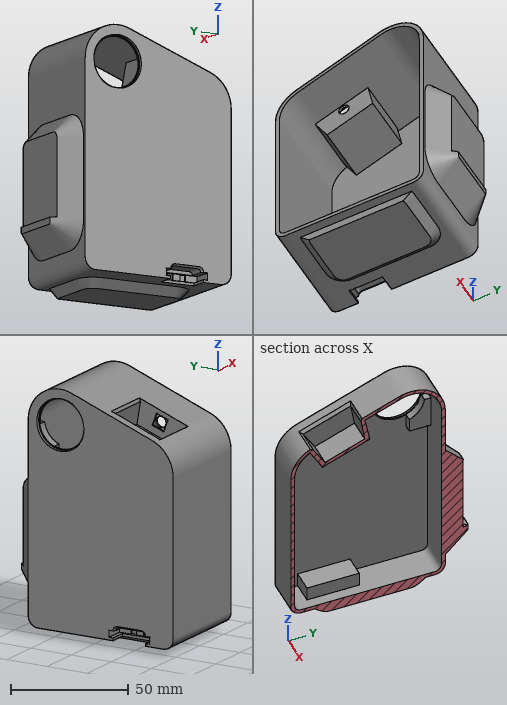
import cadquery as cq
import math

case_width = 48.4
case_depth = 72.0
case_height = 108.0
corner_radius = 16.0
bottom_radius = 5.0
shoulder_z = 77.0
wall = 2.0

rear_arc_y = case_depth - corner_radius
rear_arc_z = case_height - corner_radius
roof_angle = math.degrees(
    math.atan2(rear_arc_z - shoulder_z, rear_arc_y - corner_radius)
)
roof_sin = math.sin(math.radians(roof_angle))
roof_cos = math.cos(math.radians(roof_angle))

sensor_diameter = 22.3
sensor_recess_diameter = 23.3
sensor_recess_depth = 1.5
cradle_length = 5.5
cradle_y_min = 60.0
cradle_drop = 1.5
cradle_height = 15.5

pocket_x_min = 5.75
pocket_x_max = 27.6
pocket_y_front = 10.05
pocket_y_rear = 32.2
pocket_depth = 11.6
pocket_rim_side = 1.35
pocket_rim_end = 1.05
pocket_rim_depth = 1.3
pocket_end_lean = 2.0
cable_diameter = 5.0
cable_depth = 5.2
cable_recess_width = 6.0
cable_recess_depth = 0.8

taper_angle = 45.0
rear_mount_width = 45.4
rear_mount_height = 59.3
rear_mount_depth = 10.5
rear_mount_corner = 11.4
rear_mount_z = 39.55
rear_face_depth = 8.3
rear_lip_z = 23.4
lip_slot_width = 16.1
lip_slot_thickness = 1.2
lip_slot_floor_width = 10.0

bottom_mount_length = 54.6
bottom_mount_width = 37.6
bottom_mount_depth = 4.0
bottom_mount_corner = 8.4
bottom_mount_x = 31.9
bottom_mount_y = 37.0
bottom_mount_end_x = case_width - 4.0

slot_y = 21.8
slot_length = 9.0
mouth_length = 8.0
slot_width = 20.3
slot_mouth_width = 16.2
slot_z_min = 1.25
slot_z_max = 4.4
hood_top_z = 5.9
hood_corner = 1.6
hood_lead_in = 0.8
hood_lead_length = 1.0
end_groove_inner = 1.75
end_groove_outer = 4.5
end_groove_depth = 1.0

OVERLAP = 1.0


def box(x_min, x_max, y_min, y_max, z_min, z_max):
    size = (x_max - x_min, y_max - y_min, z_max - z_min)
    return cq.Workplane("XY").box(*size, centered=False).translate((x_min, y_min, z_min))


def case_shape(inset, x_start, x_end):
    """Case outline moved inward by inset, extruded between two X positions."""
    top_r = corner_radius - inset
    low_r = bottom_radius - inset
    front = inset
    rear = case_depth - inset
    half_roof = roof_angle / 2
    front_mid_angle = math.radians(135 + half_roof)
    front_mid_y = corner_radius + top_r * math.cos(front_mid_angle)
    front_mid_z = shoulder_z + top_r * math.sin(front_mid_angle)
    rear_mid_angle = math.radians(45 + half_roof)
    rear_mid_y = rear_arc_y + top_r * math.cos(rear_mid_angle)
    rear_mid_z = rear_arc_z + top_r * math.sin(rear_mid_angle)
    low_mid = bottom_radius - low_r * math.sqrt(0.5)
    return (
        cq.Workplane("YZ", origin=(x_start, 0, 0))
        .moveTo(bottom_radius, inset)
        .lineTo(case_depth - bottom_radius, inset)
        .threePointArc((case_depth - low_mid, low_mid), (rear, bottom_radius))
        .lineTo(rear, rear_arc_z)
        .threePointArc(
            (rear_mid_y, rear_mid_z),
            (rear_arc_y - top_r * roof_sin, rear_arc_z + top_r * roof_cos),
        )
        .lineTo(corner_radius - top_r * roof_sin, shoulder_z + top_r * roof_cos)
        .threePointArc((front_mid_y, front_mid_z), (front, shoulder_z))
        .lineTo(front, bottom_radius)
        .threePointArc((low_mid, low_mid), (bottom_radius, inset))
        .close()
        .extrude(x_end - x_start)
    )


def tapered_pad(plane, length_x, length_y, corner, depth):
    """Rounded rectangle whose sides lean in while it rises from the plane."""
    outline = cq.Sketch().rect(length_x, length_y).vertices().fillet(corner)
    return cq.Workplane(plane).placeSketch(outline).extrude(depth, taper=taper_angle)


def sensor_cylinder(diameter, length):
    return (
        cq.Workplane("YZ")
        .center(rear_arc_y, rear_arc_z)
        .circle(diameter / 2)
        .extrude(length)
    )


def sensor_cradle():
    """Block in the rear corner that carries the lower rear part of the sensor bore."""
    top_z = rear_arc_z - cradle_drop
    return box(0, cradle_length, cradle_y_min, case_depth, top_z - cradle_height, top_z)


roof_y = (pocket_y_front + pocket_y_rear) / 2
roof_z = (
    shoulder_z
    + corner_radius * roof_cos
    + (roof_y - corner_radius + corner_radius * roof_sin) * roof_sin / roof_cos
)
pocket_x = (pocket_x_min + pocket_x_max) / 2
pocket_width = pocket_x_max - pocket_x_min
pocket_length = (pocket_y_rear - pocket_y_front) / roof_cos
roof_plane = cq.Plane(
    origin=(pocket_x, roof_y, roof_z),
    xDir=(1, 0, 0),
    normal=(0, -roof_sin, roof_cos),
)


def roof_block(x_min, x_max, s_min, s_max, top, bottom):
    """Block in roof coordinates; top and bottom are depths below the roof."""
    return (
        cq.Workplane(roof_plane)
        .workplane(offset=-bottom)
        .center((x_min + x_max) / 2, (s_min + s_max) / 2)
        .rect(x_max - x_min, s_max - s_min)
        .extrude(bottom - top)
    )


def pocket_body(margin, top):
    """Pocket volume grown by margin; its end walls lean in below the rim."""
    half_length = pocket_length / 2 + margin
    half_floor = half_length - pocket_end_lean
    floor_depth = pocket_depth + margin
    width = pocket_width + 2 * margin
    return (
        cq.Workplane(roof_plane)
        .transformed(rotate=(0, 90, 0), offset=(-width / 2, 0, 0))
        .polyline(
            [
                (-top, -half_length),
                (pocket_rim_depth, -half_length),
                (floor_depth, -half_floor),
                (floor_depth, half_floor),
                (pocket_rim_depth, half_length),
                (-top, half_length),
            ]
        )
        .close()
        .extrude(width)
    )


def pocket_cutter():
    rim = (
        cq.Workplane(roof_plane)
        .center(-pocket_rim_side / 2, 0)
        .rect(pocket_width + pocket_rim_side, pocket_length + 2 * pocket_rim_end)
        .workplane(offset=-pocket_rim_depth)
        .center(pocket_rim_side / 2, 0)
        .rect(pocket_width, pocket_length)
        .loft(ruled=True)
    )
    return pocket_body(0, OVERLAP).union(rim)


def cable_cutter():
    """Cable hole through the +X wall, with a flat-bottomed recess around it."""
    half_x = pocket_width / 2
    hole = (
        cq.Workplane(roof_plane)
        .transformed(rotate=(0, 90, 0), offset=(half_x - OVERLAP, 0, -cable_depth))
        .circle(cable_diameter / 2)
        .extrude(wall + 2 * OVERLAP)
    )
    recess = roof_block(
        half_x - OVERLAP,
        half_x + cable_recess_depth,
        -cable_recess_width / 2,
        cable_recess_width / 2,
        cable_depth - cable_recess_width / 2,
        cable_depth + cable_recess_width / 2,
    )
    return hole.union(recess)


def rear_mount():
    plane = cq.Plane(
        origin=(case_width / 2, case_depth, rear_mount_z),
        xDir=(1, 0, 0),
        normal=(0, 1, 0),
    )
    pad = tapered_pad(
        plane, rear_mount_width, rear_mount_height, rear_mount_corner, rear_mount_depth
    )
    face_y = case_depth + rear_face_depth
    above_lip = box(
        0, case_width, face_y, case_depth + rear_mount_depth + OVERLAP, rear_lip_z, case_height
    )
    half_slot = lip_slot_width / 2
    half_floor = lip_slot_floor_width / 2
    slot_floor = rear_lip_z - (half_slot - half_floor)
    slot = (
        cq.Workplane("XZ", origin=(case_width / 2, face_y, 0))
        .polyline(
            [
                (-half_slot, rear_lip_z),
                (-half_floor, slot_floor),
                (half_floor, slot_floor),
                (half_slot, rear_lip_z),
            ]
        )
        .close()
        .extrude(-lip_slot_thickness)
    )
    return pad.cut(above_lip).cut(slot)


def bottom_mount():
    plane = cq.Plane(
        origin=(bottom_mount_x, bottom_mount_y, 0), xDir=(1, 0, 0), normal=(0, 0, -1)
    )
    pad = tapered_pad(
        plane, bottom_mount_width, bottom_mount_length, bottom_mount_corner, bottom_mount_depth
    )
    beyond_end = box(
        bottom_mount_end_x, 2 * case_width, 0, case_depth, -2 * bottom_mount_depth, OVERLAP
    )
    return pad.cut(beyond_end)


def hood_outline(x, growth):
    height = hood_top_z + growth - slot_z_min
    return (
        cq.Workplane("YZ", origin=(x, 0, 0))
        .center(slot_y, slot_z_min + height / 2)
        .sketch()
        .rect(slot_mouth_width - 2 * hood_lead_in + 2 * growth, height)
        .vertices(">Y")
        .fillet(hood_corner + growth)
        .finalize()
    )


def slot_housing():
    half = slot_width / 2 + wall
    return box(
        0,
        slot_length + end_groove_depth + wall,
        slot_y - half,
        slot_y + half,
        slot_z_min,
        hood_top_z + hood_lead_in + wall,
    )


def slot_cutter():
    half_slot = slot_width / 2
    half_mouth = slot_mouth_width / 2
    cutter = box(
        -OVERLAP, slot_length, slot_y - half_slot, slot_y + half_slot, slot_z_min, slot_z_max
    )
    mouth = box(
        -OVERLAP, mouth_length, slot_y - half_mouth, slot_y + half_mouth, -OVERLAP, slot_z_max
    )
    hood = hood_outline(0, 0).extrude(mouth_length)
    lead_angle = math.degrees(math.atan2(hood_lead_in, hood_lead_length))
    lead_in = hood_outline(0, hood_lead_in).extrude(hood_lead_length, taper=lead_angle)
    cutter = cutter.union(mouth).union(hood).union(lead_in)
    groove_width = end_groove_outer - end_groove_inner
    for groove_y in (slot_y - end_groove_outer, slot_y + end_groove_inner):
        groove = box(
            slot_length - OVERLAP,
            slot_length + end_groove_depth,
            groove_y,
            groove_y + groove_width,
            slot_z_min,
            slot_z_max,
        )
        cutter = cutter.union(groove)
    return cutter


outer = case_shape(0, 0, case_width)
shell = outer.cut(case_shape(wall, wall, case_width + OVERLAP))

housings = (
    sensor_cradle()
    .union(pocket_body(wall, 0))
    .union(slot_housing())
    .intersect(outer)
)

result = (
    shell.union(housings)
    .union(rear_mount())
    .union(bottom_mount())
    .cut(sensor_cylinder(sensor_diameter, case_width))
    .cut(sensor_cylinder(sensor_recess_diameter, sensor_recess_depth))
    .cut(pocket_cutter())
    .cut(cable_cutter())
    .cut(slot_cutter())
)